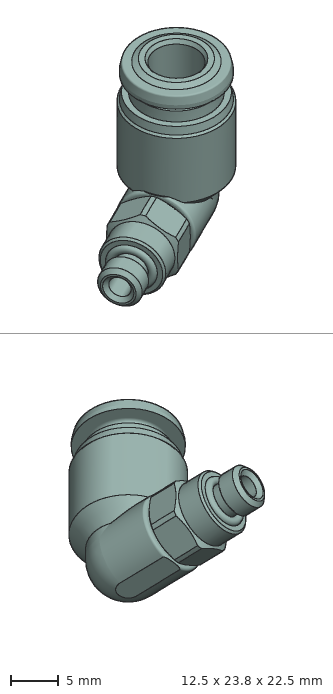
import cadquery as cq
import math


body_radius = 12.5 / 2
body_bottom = 3.5
body_top = 13.5
body_lip_start = 12.5
body_chamfer = 0.25
elbow_radius = 9.0 / 2
body_cone_bottom = 1.4
taper_angle = math.radians(12)

ring_top = 14.9
ring_top_radius = 4.95
ring_bottom_radius = 5.05

collar_radius = 12.0 / 2
collar_bottom = 16.0
collar_taper_start = 16.5
collar_shoulder = 17.6
collar_edge_fillet = 0.25
collar_top = 18.0
collar_neck_radius = 8.0 / 2
collar_neck_fillet = 0.5
collar_crown_radius = 9.4 / 2
collar_crown_top_radius = 8.0 / 2

socket_radius = 6.0 / 2
socket_mouth_radius = 6.6 / 2
socket_mouth_depth = 0.5
socket_floor = body_bottom

elbow_flat_offset = 4.3
elbow_end = 6.4
elbow_end_fillet = 0.35
passage_radius = 2.0 / 2

hex_end = 10.5
hex_across_flats = 8.0
hex_corner_radius = 8.9 / 2
bevel_slope = math.tan(math.radians(30))

shank_radius = 7.5 / 2
shank_end = 13.5
shank_chamfer = 0.25
seal_section_radius = 0.5
groove_radius = 3.8 / 2
thread_radius = 5.0 / 2
thread_start = 15.05
thread_end = 17.5
thread_chamfer = 0.5
stem_bore_radius = 2.5 / 2
stem_mouth_radius = 3.5 / 2
stem_mouth_depth = 0.5
stem_bore_floor = elbow_end


def turn_about_z(profile):
    """Revolve a closed (radius, z) profile about Z."""
    return profile.close().revolve(360, (0, 0, 0), (0, 1, 0)).rotate((0, 0, 0), (1, 0, 0), 90)


def turn_about_stem(profile):
    """Revolve a closed (radius, distance) profile and point it along -Y."""
    return profile.close().revolve(360, (0, 0, 0), (0, 1, 0)).rotate((0, 0, 0), (1, 0, 0), 180)


def stem_cylinder(radius, start, end):
    """Cylinder on the stem axis between two distances along -Y."""
    return cq.Workplane("XZ", origin=(0, -start, 0)).circle(radius).extrude(end - start)


def make_body():
    lip_radius = body_radius - body_chamfer
    lip_top_radius = lip_radius - (body_top - body_lip_start) * math.tan(taper_angle)
    profile = (
        cq.Workplane("XY")
        .moveTo(0, body_cone_bottom)
        .lineTo(elbow_radius, body_cone_bottom)
        .lineTo(body_radius, body_bottom)
        .lineTo(body_radius, body_lip_start - body_chamfer)
        .lineTo(lip_radius, body_lip_start)
        .lineTo(lip_top_radius, body_top)
        .lineTo(ring_bottom_radius, body_top)
        .lineTo(ring_top_radius, ring_top)
        .lineTo(0, ring_top)
    )
    return turn_about_z(profile)


def make_collar():
    shoulder_radius = collar_radius - (collar_shoulder - collar_taper_start) * math.tan(taper_angle)
    profile = (
        cq.Workplane("XY")
        .moveTo(0, ring_top)
        .lineTo(collar_neck_radius, ring_top)
        .lineTo(collar_neck_radius, collar_bottom - collar_neck_fillet)
        .radiusArc((collar_neck_radius + collar_neck_fillet, collar_bottom), collar_neck_fillet)
        .lineTo(collar_radius, collar_bottom)
        .lineTo(collar_radius, collar_taper_start)
        .lineTo(shoulder_radius, collar_shoulder)
        .lineTo(collar_crown_radius, collar_shoulder)
        .lineTo(collar_crown_top_radius, collar_top)
        .lineTo(0, collar_top)
    )
    collar = turn_about_z(profile)
    shoulder_zone = cq.selectors.BoxSelector(
        (-collar_radius, -collar_radius, collar_shoulder - collar_edge_fillet),
        (collar_radius, collar_radius, collar_shoulder + collar_edge_fillet),
    )
    widest_edge = cq.selectors.RadiusNthSelector(-1)
    shoulder_edge = collar.edges("%CIRCLE").edges(shoulder_zone).edges(widest_edge)
    return shoulder_edge.fillet(collar_edge_fillet)


def make_elbow():
    outlet = stem_cylinder(elbow_radius, 0, elbow_end).faces("<Y").edges().fillet(elbow_end_fillet)
    inlet = cq.Workplane("XY").circle(elbow_radius).extrude(body_cone_bottom)
    elbow = outlet.union(inlet).union(cq.Workplane("XY").sphere(elbow_radius))
    envelope = cq.Workplane("XY").box(
        2 * elbow_radius,
        elbow_end + elbow_flat_offset,
        2 * elbow_flat_offset,
    ).translate((0, (elbow_flat_offset - elbow_end) / 2, 0))
    return elbow.intersect(envelope)


def make_hexagon():
    flat_to_corner_diameter = hex_across_flats / math.cos(math.pi / 6)
    prism = (
        cq.Workplane("XZ", origin=(0, -elbow_end, 0))
        .transformed(rotate=(0, 0, 90))
        .polygon(6, flat_to_corner_diameter)
        .extrude(hex_end - elbow_end)
    )
    chamfer_length = (hex_corner_radius - shank_radius) * bevel_slope
    envelope = turn_about_stem(
        cq.Workplane("XY")
        .moveTo(0, elbow_end)
        .lineTo(shank_radius, elbow_end)
        .lineTo(hex_corner_radius, elbow_end + chamfer_length)
        .lineTo(hex_corner_radius, hex_end - chamfer_length)
        .lineTo(shank_radius, hex_end)
        .lineTo(0, hex_end)
    )
    return prism.intersect(envelope)


def make_stem():
    seal_center_radius = groove_radius + seal_section_radius
    seal_outer_radius = seal_center_radius + seal_section_radius
    seal_end = shank_end + seal_section_radius
    groove_end = thread_start - (thread_radius - groove_radius) * bevel_slope
    seal_diagonal = seal_section_radius * math.sqrt(0.5)
    profile = (
        cq.Workplane("XY")
        .moveTo(0, hex_end)
        .lineTo(shank_radius, hex_end)
        .lineTo(shank_radius, shank_end - shank_chamfer)
        .lineTo(shank_radius - shank_chamfer, shank_end)
        .lineTo(seal_outer_radius, shank_end)
        .threePointArc(
            (seal_center_radius + seal_diagonal, shank_end + seal_diagonal),
            (seal_center_radius, seal_end),
        )
        .threePointArc(
            (seal_center_radius - seal_diagonal, shank_end + seal_diagonal),
            (groove_radius, shank_end),
        )
        .lineTo(groove_radius, groove_end)
        .lineTo(thread_radius, thread_start)
        .lineTo(thread_radius, thread_end - thread_chamfer)
        .lineTo(thread_radius - thread_chamfer, thread_end)
        .lineTo(0, thread_end)
    )
    return turn_about_stem(profile)


def make_socket_bore():
    profile = (
        cq.Workplane("XY")
        .moveTo(0, socket_floor)
        .lineTo(socket_radius, socket_floor)
        .lineTo(socket_radius, collar_top - socket_mouth_depth)
        .lineTo(socket_mouth_radius, collar_top)
        .lineTo(0, collar_top)
    )
    return turn_about_z(profile)


def make_stem_bore():
    return turn_about_stem(
        cq.Workplane("XY")
        .moveTo(0, stem_bore_floor)
        .lineTo(stem_bore_radius, stem_bore_floor)
        .lineTo(stem_bore_radius, thread_end - stem_mouth_depth)
        .lineTo(stem_mouth_radius, thread_end)
        .lineTo(0, thread_end)
    )


def make_passage():
    """Narrow passage turning the corner from the socket to the stem bore."""
    down = cq.Workplane("XY").circle(passage_radius).extrude(socket_floor)
    out = stem_cylinder(passage_radius, 0, stem_bore_floor)
    return down.union(out).union(cq.Workplane("XY").sphere(passage_radius))


outside = make_body().union(make_collar()).union(make_elbow()).union(make_hexagon()).union(make_stem())
result = outside.cut(make_socket_bore()).cut(make_stem_bore()).cut(make_passage())